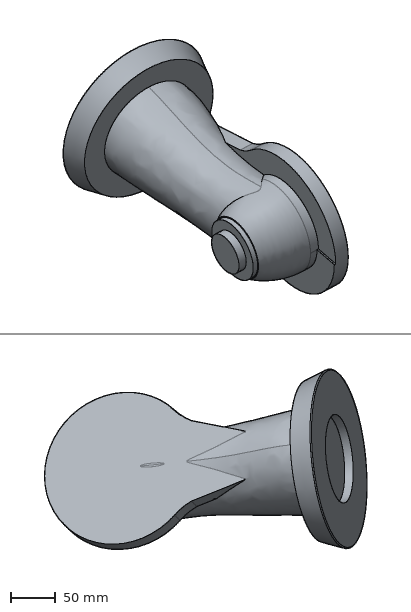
import cadquery as cq
import math

flange_radius = 101.5
flange_front_radius = 91.7
flange_thickness = 28.0
flange_edge_bevel = 1.5
recess_radius = 50.0
recess_depth = 10.0

part_length = 333.5
plate_radius = 89.5
plate_back = 44.7
plate_upper_front = 26.7
plate_lower_front = 24.7
hub_x = part_length - plate_radius

tail_start_x = 96.8
tail_start_half_height = 28.7
tail_bend_x = 160.0
tail_bend_half_height = 47.7
tail_join_angle = math.radians(136)

arm_sections = [
    (flange_thickness, -63.0, 63.0, 63.0),
    (78.7, -58.7, 57.0, 55.7),
    (132.8, -51.7, 46.5, 49.7),
    (192.2, -44.7, 44.7, 49.5),
    (220.2, -40.7, 44.7, 53.7),
    (hub_x, -36.7, 44.7, 56.7),
]

hub_radius = 58.0
hub_shoulder = 15.5
hub_nose_radius = 39.0
hub_nose = -44.0
collar_radius = 37.7
collar_end = -50.5
stub_radius = 25.0
stub_end = -60.7


def make_flange():
    profile = (
        cq.Workplane("XY")
        .lineTo(0, flange_radius - flange_edge_bevel)
        .lineTo(flange_edge_bevel, flange_radius)
        .lineTo(flange_thickness, flange_front_radius)
        .lineTo(flange_thickness, 0)
        .close()
    )
    return profile.revolve(360, (0, 0, 0), (1, 0, 0))


def make_arm():
    wires = []
    for x, low, high, half_height in arm_sections:
        section = cq.Workplane("YZ", origin=(x, (low + high) / 2, 0))
        wires.append(section.ellipse((high - low) / 2, half_height).val())
    return cq.Workplane(cq.Solid.makeLoft(wires))


def make_plate_half(front):
    join_x = hub_x + plate_radius * math.cos(tail_join_angle)
    join_z = plate_radius * math.sin(tail_join_angle)
    outline = (
        cq.Workplane("XZ", origin=(0, plate_back, 0))
        .moveTo(part_length, 0)
        .threePointArc((hub_x, plate_radius), (join_x, join_z))
        .tangentArcPoint((tail_bend_x, tail_bend_half_height), relative=False)
        .lineTo(tail_start_x, tail_start_half_height)
        .lineTo(tail_start_x, 0)
        .close()
    )
    return outline.extrude(plate_back - front)


def make_plate():
    lower_half = make_plate_half(plate_lower_front).mirror("XY")
    return make_plate_half(plate_upper_front).union(lower_half)


def make_hub():
    drop = hub_shoulder - hub_nose
    inset = hub_radius - hub_nose_radius
    curve_radius = (drop**2 + inset**2) / (2 * inset)
    half_sweep = math.asin(drop / curve_radius) / 2
    middle = (
        hub_radius - curve_radius * (1 - math.cos(half_sweep)),
        hub_shoulder - curve_radius * math.sin(half_sweep),
    )
    profile = (
        cq.Workplane("XY", origin=(hub_x, 0, 0))
        .moveTo(0, plate_back)
        .lineTo(hub_radius, plate_back)
        .lineTo(hub_radius, hub_shoulder)
        .threePointArc(middle, (hub_nose_radius, hub_nose))
        .lineTo(collar_radius, hub_nose)
        .lineTo(collar_radius, collar_end)
        .lineTo(stub_radius, collar_end)
        .lineTo(stub_radius, stub_end)
        .lineTo(0, stub_end)
        .close()
    )
    return profile.revolve(360, (0, 0, 0), (0, 1, 0))


recess = cq.Workplane("YZ").circle(recess_radius).extrude(recess_depth)

result = make_flange().union(make_arm()).union(make_plate()).union(make_hub()).cut(recess)